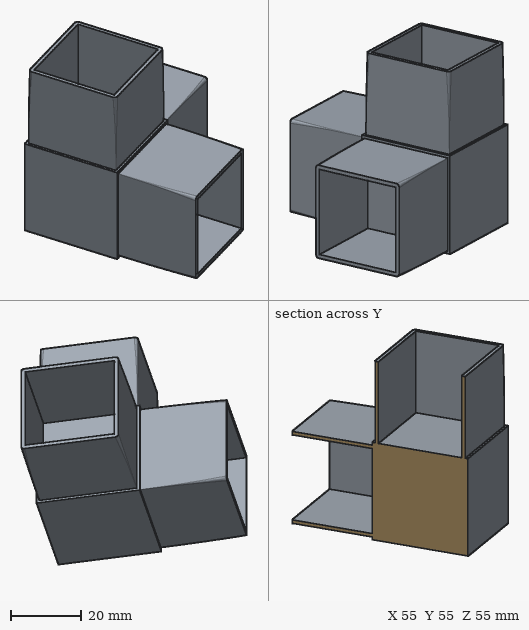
import cadquery as cq

overall_size = 55.0
cube_size = 30.0
plug_shoulder = 0.8
plug_wall = 1.2
tip_radius = 1.0
root_radius = 0.01

plug_length = overall_size - cube_size
plug_size = cube_size - 2 * plug_shoulder
bore_size = plug_size - 2 * plug_wall
cube_center = cube_size / 2


def rounded_square(size, radius):
    """Square sketch, centred on the origin, with rounded corners."""
    return cq.Sketch().rect(size, size).vertices().fillet(radius)


def corner_radius(fraction):
    """Corner radius, growing with the square of the distance from the root."""
    return root_radius + (tip_radius - root_radius) * fraction**2


def make_plug():
    """Hollow plug standing on the XY plane, its corners rounding toward the tip."""
    sections = [
        rounded_square(plug_size, corner_radius(fraction)).moved(
            cq.Location(cq.Vector(0, 0, plug_length * fraction))
        )
        for fraction in (0, 0.5, 1)
    ]
    body = cq.Workplane("XY").placeSketch(*sections).loft()
    bore = cq.Workplane("XY").rect(bore_size, bore_size).extrude(plug_length)
    return body.cut(bore)


plug = make_plug()
cube = cq.Workplane("XY").box(cube_size, cube_size, cube_size, centered=False)

plug_x = plug.rotate((0, 0, 0), (0, 1, 0), 90).translate((cube_size, cube_center, cube_center))
plug_y = plug.rotate((0, 0, 0), (1, 0, 0), -90).translate((cube_center, cube_size, cube_center))
plug_z = plug.translate((cube_center, cube_center, cube_size))

result = cube.union(plug_x).union(plug_y).union(plug_z)